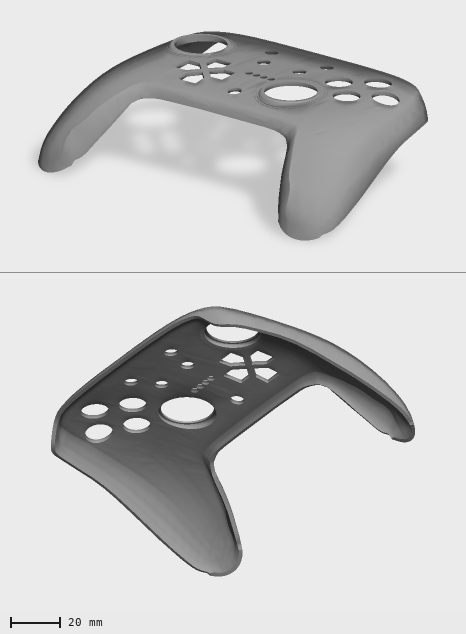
import math

import cadquery as cq


wall = 1.6

crown_peak = -0.45
crown_peak_y = 15.0
side_fall = 4.0
side_fall_x = 61.0
side_fall_power = 7
grip_fall_rate = 9.0e-5
back_fall_rate = 6.5e-5
crown_points = 7
crown_step = 1.5

wall_rounding = [(0.32, 0.17), (0.65, 0.42), (0.88, 0.72)]

ribs = [
    ((0, -20.7, -8.05), (0, -17.6), (0, 48.4), (0, 50.75, -6.75)),
    ((13, -20.7, -8.05), (13, -17.7), (14, 48.3), (14, 50.7, -6.75)),
    ((25, -20.8, -8.25), (26.5, -18.0), (28, 47.8), (28, 50.1, -6.65)),
    ((32.5, -21.5, -8.65), (35, -18.6), (43, 45.8), (43.5, 48.3, -6.55)),
    ((36.8, -23.1, -9.35), (39.2, -19.6), (51.5, 43.2), (54, 44.5, -9.95)),
    ((38.0, -23.9, -10.0), (40.2, -20.5), (54.6, 41.3), (58.9, 41.7, -14.5)),
    ((39.0, -24.9, -10.65), (41.2, -21.6), (56.3, 39.5), (61, 39.7, -14.45)),
    ((40.4, -26.7, -12.45), (42.6, -23.8), (59.5, 28.7), (65.3, 28.5, -14.35)),
    ((41.4, -28.7, -14.45), (43.8, -26.2), (62.3, 13.6), (68.6, 12.5, -15.65)),
    ((42.3, -30.8, -16.45), (45.3, -28.8), (64.8, -2), (71.2, -3, -20.25)),
    ((43.3, -33.3, -18.75), (47.1, -32), (66.6, -16), (73.6, -17.5, -25.85)),
    ((45.0, -36.8, -22.25), (49.8, -36.8), (67.8, -28), (74.9, -29.5, -30.85)),
    ((47.6, -41.2, -26.95), (53.0, -41.8), (68.5, -37), (74.8, -38, -34.55)),
    ((50.3, -45.1, -31.15), (56, -45.4), (68.4, -43), (73.6, -42.2, -36.25)),
]
tip_rim = ((53.0, -48.3, -34.25), (62.5, -50.72, -38.75), (71.6, -45.9, -37.85))
fair_row_count = 61

cut_bottom = -8.0
cut_top = 2.0

stick_centres = [(-41.2, 21.9), (20.9, 1.1)]
stick_hole_radius = 10.75
stick_lip_thickness = 0.8
stick_relief_radius = 11.7
collar_blank_radius = 10.25
collar_bottom = -2.6
collar_profile = [
    (collar_blank_radius, collar_bottom),
    (collar_blank_radius, 0),
    (12.1, 0),
    (12.7, -0.5),
    (13.6, -2.0),
    (13.6, collar_bottom),
]
collar_steps = [(14.6, 0.15), (13.7, 0.4)]

action_centre = (40.8, 22.4)
action_offset_x = 11.9
action_offset_y = 10.3
action_centres = [
    (action_centre[0] - action_offset_x, action_centre[1]),
    (action_centre[0] + action_offset_x, action_centre[1]),
    (action_centre[0], action_centre[1] - action_offset_y),
    (action_centre[0], action_centre[1] + action_offset_y),
]
action_radius = 5.6

small_button_centres = [(-14.1, 33.5), (14.1, 33.5), (-9.1, 21.9), (9.1, 21.9), (0, -8.9)]
small_button_radius = 2.8

light_pitch = 3.8
light_first_x = -6.1
light_y = 8.3
light_centres = [(light_first_x + light_pitch * index, light_y) for index in range(4)]
light_radius = 1.6

dpad_centre = (-22.8, 1.1)
dpad_reach = 12.1
dpad_half_width = 4.4
dpad_tip = 1.9
dpad_corner_radius = 0.6


def crown_height(x, y):
    rate = grip_fall_rate if y < crown_peak_y else back_fall_rate
    across = side_fall * (abs(x) / side_fall_x) ** side_fall_power
    return crown_peak - across - rate * abs(y - crown_peak_y) ** 3


def rib_parameters():
    """Shares along a rib, from 0 to 1, at which its points lie; every rib uses the same ones."""
    wall_steps = [1.0] * (len(wall_rounding) + 1)
    crown_steps = [crown_step] * (crown_points - 1)
    steps = wall_steps + crown_steps + wall_steps
    return [sum(steps[:count]) / sum(steps) for count in range(len(steps) + 1)]


def on_crown(x, y):
    return cq.Vector(x, y, crown_height(x, y))


def wall_points(shoulder, rim):
    """Points of the rounded wall between a shoulder and its rim, from the shoulder down."""
    drop = rim - shoulder
    return [shoulder + cq.Vector(drop.x * out, drop.y * out, drop.z * down) for out, down in wall_rounding]


def rib_points(inner_rim, inner_shoulder, outer_shoulder, outer_rim):
    low = cq.Vector(*inner_rim)
    high = cq.Vector(*outer_rim)
    start = on_crown(*inner_shoulder)
    end = on_crown(*outer_shoulder)
    points = [low] + wall_points(start, low)[::-1]
    for step in range(crown_points):
        share = (1 - math.cos(math.pi * step / (crown_points - 1))) / 2
        along = start + (end - start) * share
        points.append(on_crown(along.x, along.y))
    return points + wall_points(end, high) + [high]


def tip_points(inset=0.0):
    """Points on the rim of the grip tip, or on the concentric arc `inset` inside it."""
    arc = cq.Edge.makeThreePointArc(*[cq.Vector(*point) for point in tip_rim])
    centre = arc.arcCenter()
    shrink = 1 - inset / arc.radius()
    return [centre + (arc.positionAt(share) - centre) * shrink for share in rib_parameters()]


def rounded_end(rows, tip):
    """Rows that carry the last rib down to the rim of the tip, rounded like the walls."""
    steps = [wall_points(start, end) for start, end in zip(rows[-1], tip)]
    return [list(row) for row in zip(*steps)]


def fair_rows(rows):
    """The same surface with evenly spaced rows, taken from a smooth rail through each column."""
    rails = [list(column) for column in zip(*rows)]
    middle = len(rails) // 2
    lengths = [0.0]
    for i in range(1, len(rows)):
        step = sum((rails[j][i] - rails[j][i - 1]).Length for j in (0, middle, -1))
        lengths.append(lengths[-1] + step)
    shares = [length / lengths[-1] for length in lengths]
    curves = [cq.Edge.makeSpline(rail, parameters=shares) for rail in rails]
    places = [step / (fair_row_count - 1) for step in range(fair_row_count)]
    return [[curve.positionAt(place, mode="parameter") for curve in curves] for place in places]


def mirror_row(row):
    return [cq.Vector(-point.x, point.y, point.z) for point in row]


def both_halves(rows):
    return [mirror_row(row) for row in rows[:0:-1]] + rows


def outer_rows():
    half = [rib_points(*rib) for rib in ribs]
    tip = tip_points()
    half += rounded_end(half, tip)
    half.append(tip)
    return fair_rows(both_halves(half))


def inner_rows(rows):
    """The rows moved inward by the wall thickness along the surface normals."""
    last = len(rows[0]) - 1
    moved = [mirror_row(tip_points(wall))]
    for before, row, after in zip(rows, rows[1:], rows[2:]):
        moved_row = []
        for j, point in enumerate(row):
            along = after[j] - before[j]
            across = row[min(j + 1, last)] - row[max(j - 1, 0)]
            moved_row.append(point - along.cross(across).normalized() * wall)
        moved.append(moved_row)
    return moved + [tip_points(wall)]


def wall_section(outer_row, inner_row):
    """Closed cross-section of the wall: outer curve, rim, inner curve, rim."""
    return cq.Wire.assembleEdges([
        cq.Edge.makeSpline(outer_row, parameters=rib_parameters()),
        cq.Edge.makeLine(outer_row[-1], inner_row[-1]),
        cq.Edge.makeSpline(inner_row, parameters=rib_parameters()),
        cq.Edge.makeLine(inner_row[0], outer_row[0]),
    ])


def make_shell():
    outer = outer_rows()
    return cq.Solid.makeLoft([wall_section(*pair) for pair in zip(outer, inner_rows(outer))])


def vertical_cutter(profile, top=cut_top):
    """A closed profile, sketched on the XY plane, raised from below the front wall up to `top`."""
    return profile.extrude(top - cut_bottom).translate((0, 0, cut_bottom))


def round_cutter(centres, radius, top=cut_top):
    return vertical_cutter(cq.Workplane().pushPoints(centres).circle(radius), top)


def collar(shell, centre):
    """Flared collar around a thumbstick hole, with foot steps that follow the skin of the shell."""
    profile = cq.Workplane("XZ").polyline(collar_profile).close()
    flare = profile.revolve().translate((centre[0], centre[1], 0))
    for radius, rise in collar_steps:
        flare = flare.union(shell.translate((0, 0, rise)).intersect(round_cutter([centre], radius)))
    return flare


def dpad_cutter():
    """Four arms around the D-pad centre, each with a square point facing inward."""
    shoulder = dpad_tip + dpad_half_width
    arm = cq.Workplane().polyline([
        (dpad_tip, 0),
        (shoulder, dpad_half_width),
        (dpad_reach, dpad_half_width),
        (dpad_reach, -dpad_half_width),
        (shoulder, -dpad_half_width),
    ]).close()
    arm = vertical_cutter(arm).edges("|Z and >X").fillet(dpad_corner_radius)
    arms = arm
    for quarter in range(1, 4):
        arms = arms.union(arm.rotate((0, 0, 0), (0, 0, 1), 90 * quarter))
    return arms.translate((dpad_centre[0], dpad_centre[1], 0))


shell = cq.Workplane(make_shell())
result = shell
for stick in stick_centres:
    result = result.union(collar(shell, stick))
result = (
    result.cut(round_cutter(stick_centres, stick_hole_radius))
    .cut(round_cutter(stick_centres, stick_relief_radius, -stick_lip_thickness))
    .cut(round_cutter(action_centres, action_radius))
    .cut(round_cutter(small_button_centres, small_button_radius))
    .cut(round_cutter(light_centres, light_radius))
    .cut(dpad_cutter())
)